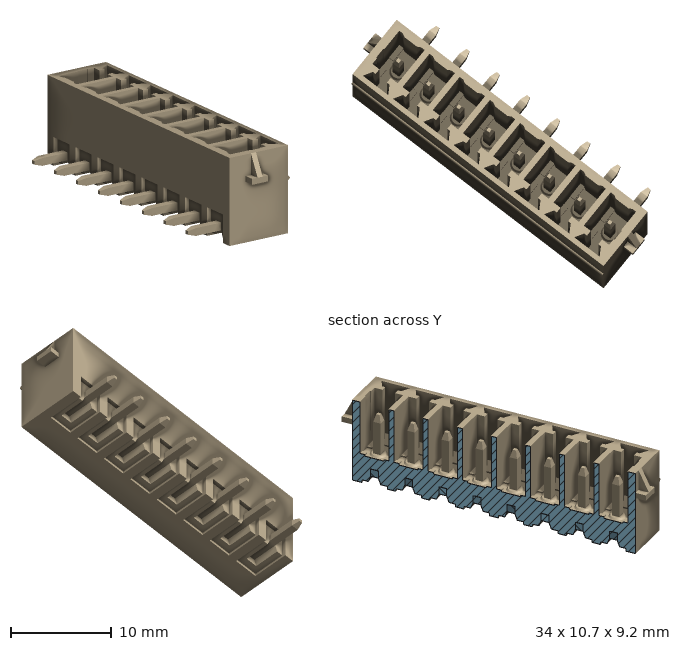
import cadquery as cq

OVERALL_LENGTH = 33.97
POLES = 8
PIN_ROW_LENGTH = 26.65
PITCH = PIN_ROW_LENGTH / (POLES - 1)

BODY_LENGTH = 31.65
BODY_DEPTH = 7.05
BODY_HEIGHT = 9.2

RIDGE_RADIUS = 0.2
RIDGE_Z = 5.77

LATCH_REACH = (OVERALL_LENGTH - BODY_LENGTH) / 2
LATCH_Y = 2.9
LATCH_BLOCK_WIDTH = 1.9
LATCH_BLOCK_BOTTOM = 6.35
LATCH_BLOCK_TOP = 6.95
LATCH_RIB_WIDTH = 0.6

CAVITY_WIDTH = 3.2
CAVITY_FLOOR = 3.33
CAVITY_FRONT = 0.7
CAVITY_BACK = 5.03
NECK_WIDTH = 1.43
DOVETAIL_FRONT = 5.65
DOVETAIL_BACK = 6.55
DOVETAIL_FRONT_WIDTH = 2.1
BUMP_HEIGHT = 0.2
BUMP_BASE_WIDTH = 2.3
BUMP_TOP_WIDTH = 1.55

CROSS_DEPTH = 0.17
CROSS_STEM_WIDTH = 2.07
CROSS_STEM_BACK = 4.52
CROSS_ARM_WIDTH = 1.02

END_GROOVE_DEPTH = 0.1
END_GROOVE_FRONT = 3.13
END_GROOVE_BACK = 4.28

BOSS_BASE_DIAMETER = 1.8
BOSS_TOP_DIAMETER = 1.45
BOSS_HEIGHT = 0.17

POCKET_WIDTH = 2.8
POCKET_TOP = 3.0
POCKET_DEPTH = 0.45

CHANNEL_HEIGHT = 0.3
CHANNEL_BACK = 4.08
CHUTE_BOTTOM_WIDTH = 1.35

PIN_SIZE = 0.8
PIN_TIP_SIZE = 0.37
PIN_TIP_LENGTH = 0.8
PIN_Y = 2.9
PIN_Z = 1.4
PIN_REACH = 3.43
PIN_TOP = 7.75

pole_positions = [(i - (POLES - 1) / 2) * PITCH for i in range(POLES)]
cross_floor = CAVITY_FLOOR - CROSS_DEPTH


def box(width, y_front, y_back, z_bottom, z_top):
    """Block centred on x = 0, given by its front, back, bottom and top."""
    return (
        cq.Workplane("XY", origin=(0, y_front, z_bottom))
        .box(width, y_back - y_front, z_top - z_bottom, centered=(True, False, False))
    )


def latch():
    """Block with a sloping rib above it, on the +X end face."""
    face_x = BODY_LENGTH / 2
    block = (
        cq.Workplane("XY", origin=(face_x, LATCH_Y, LATCH_BLOCK_BOTTOM))
        .box(LATCH_REACH, LATCH_BLOCK_WIDTH, LATCH_BLOCK_TOP - LATCH_BLOCK_BOTTOM,
             centered=(False, True, False))
    )
    rib = (
        cq.Workplane("XZ", origin=(face_x, LATCH_Y, 0))
        .moveTo(0, LATCH_BLOCK_TOP)
        .lineTo(LATCH_REACH, LATCH_BLOCK_TOP)
        .lineTo(0, BODY_HEIGHT)
        .close()
        .extrude(LATCH_RIB_WIDTH / 2, both=True)
    )
    return block.union(rib)


def cavity():
    """Plug cavity with a dovetail keyway, a bump on its front wall and a cross in its floor."""
    right_side = [
        (BUMP_TOP_WIDTH / 2, CAVITY_FRONT + BUMP_HEIGHT),
        (BUMP_BASE_WIDTH / 2, CAVITY_FRONT),
        (CAVITY_WIDTH / 2, CAVITY_FRONT),
        (CAVITY_WIDTH / 2, CAVITY_BACK),
        (NECK_WIDTH / 2, CAVITY_BACK),
        (NECK_WIDTH / 2, DOVETAIL_FRONT),
        (DOVETAIL_FRONT_WIDTH / 2, DOVETAIL_FRONT),
        (CAVITY_WIDTH / 2, DOVETAIL_BACK),
    ]
    left_side = [(-x, y) for x, y in reversed(right_side)]
    shaft = (
        cq.Workplane("XY", origin=(0, 0, cross_floor))
        .polyline(right_side + left_side)
        .close()
        .extrude(BODY_HEIGHT - cross_floor)
    )
    stem = box(CROSS_STEM_WIDTH, CAVITY_FRONT, CROSS_STEM_BACK, cross_floor, CAVITY_FLOOR)
    arms = box(CAVITY_WIDTH, PIN_Y - CROSS_ARM_WIDTH / 2, PIN_Y + CROSS_ARM_WIDTH / 2,
               cross_floor, CAVITY_FLOOR)
    above_floor = box(CAVITY_WIDTH, CAVITY_FRONT, DOVETAIL_BACK, CAVITY_FLOOR, BODY_HEIGHT)
    return shaft.intersect(above_floor.union(stem).union(arms))


def boss():
    """Tapered collar standing on the floor of the cross."""
    return (
        cq.Workplane("XY", origin=(0, PIN_Y, cross_floor))
        .circle(BOSS_BASE_DIAMETER / 2)
        .workplane(offset=BOSS_HEIGHT)
        .circle(BOSS_TOP_DIAMETER / 2)
        .loft()
    )


def pocket():
    """Front pocket around the pin, running into a channel under the housing."""
    recess = box(POCKET_WIDTH, 0, POCKET_DEPTH, 0, POCKET_TOP)
    channel = box(POCKET_WIDTH, 0, CHANNEL_BACK, 0, CHANNEL_HEIGHT)
    return recess.union(channel)


def chute():
    """Opening that widens downward from the underside of the pin to the channel."""
    half_top = PIN_SIZE / 2
    half_bottom = CHUTE_BOTTOM_WIDTH / 2
    return (
        cq.Workplane("XZ")
        .moveTo(-half_bottom, CHANNEL_HEIGHT)
        .lineTo(half_bottom, CHANNEL_HEIGHT)
        .lineTo(half_top, PIN_Z - half_top)
        .lineTo(-half_top, PIN_Z - half_top)
        .close()
        .extrude(-(PIN_Y + PIN_SIZE / 2))
    )


def end_groove():
    """Groove in the outer wall of the +X end cavity, running out to nothing at the floor."""
    wall_x = pole_positions[-1] + CAVITY_WIDTH / 2
    return (
        cq.Workplane("XZ", origin=(0, END_GROOVE_FRONT, 0))
        .moveTo(wall_x, CAVITY_FLOOR)
        .lineTo(wall_x + END_GROOVE_DEPTH, BODY_HEIGHT)
        .lineTo(wall_x, BODY_HEIGHT)
        .close()
        .extrude(END_GROOVE_FRONT - END_GROOVE_BACK)
    )


def pin_leg(length):
    """Square bar standing on the origin with a tapered upper end."""
    bar_length = length - PIN_TIP_LENGTH
    bar = cq.Workplane("XY").rect(PIN_SIZE, PIN_SIZE).extrude(bar_length)
    tip = (
        cq.Workplane("XY", origin=(0, 0, bar_length))
        .rect(PIN_SIZE, PIN_SIZE)
        .workplane(offset=PIN_TIP_LENGTH)
        .rect(PIN_TIP_SIZE, PIN_TIP_SIZE)
        .loft()
    )
    return bar.union(tip)


def pin():
    """Right-angle pin: one leg up into the cavity, one leg out of the front."""
    half = PIN_SIZE / 2
    heel_y = PIN_Y + half
    heel_z = PIN_Z - half
    upright = pin_leg(PIN_TOP - heel_z).translate((0, PIN_Y, heel_z))
    tail = pin_leg(heel_y + PIN_REACH).rotate((0, 0, 0), (1, 0, 0), 90).translate((0, heel_y, PIN_Z))
    return upright.union(tail)


def housing():
    """Connector housing with the seats for all pins."""
    body = box(BODY_LENGTH, 0, BODY_DEPTH, 0, BODY_HEIGHT)
    ridge = (
        cq.Workplane("YZ", origin=(-BODY_LENGTH / 2, BODY_DEPTH, RIDGE_Z))
        .circle(RIDGE_RADIUS)
        .extrude(BODY_LENGTH)
    )
    body = body.union(ridge).union(latch()).union(latch().mirror("YZ"))
    body = body.cut(end_groove()).cut(end_groove().mirror("YZ"))
    for x in pole_positions:
        body = body.cut(cavity().translate((x, 0, 0)))
        body = body.union(boss().translate((x, 0, 0)))
        body = body.cut(pocket().translate((x, 0, 0)))
        body = body.cut(chute().translate((x, 0, 0)))
        body = body.cut(pin().translate((x, 0, 0)))
    return body


shell = housing()
pins = [pin().translate((x, 0, 0)) for x in pole_positions]
result = cq.Compound.makeCompound([shell.val(), *[leg.val() for leg in pins]])